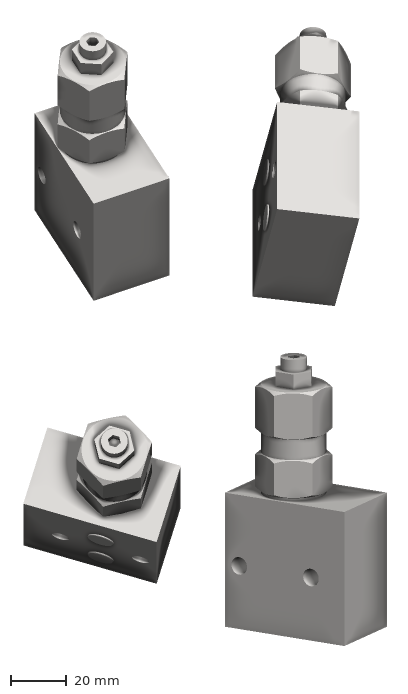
import cadquery as cq
import math

block_width = 50.0
block_depth = 30.0
block_height = 50.0

mount_hole_diameter = 6.5
mount_hole_xs = (6.0, 36.0)
mount_hole_z = 23.5

plug_diameter = 9.7
plug_height = 0.6
plug_chamfer = 0.2
plug_zs = (13.1, 34.1)

axis_x = 20.9
axis_y = 13.2

lower_nut_bottom = 51.0
lower_nut_top = 65.3
upper_nut_bottom = 72.8
upper_nut_top = 90.4
lock_nut_top = 96.0
screw_top = 100.6

nut_flats = 24.0
body_diameter = 23.5
nut_chamfer_angle = 30
lock_nut_flats = 13.0
screw_diameter = 9.6
socket_flats = 4.1
socket_depth = 4.0


def hexagon_corners(flats):
    """Distance across the corners of a hexagon, from its distance across flats."""
    return flats / math.cos(math.radians(30))


def at_level(z):
    """Horizontal workplane centred on the cartridge axis."""
    return cq.Workplane("XY", origin=(axis_x, axis_y, z))


def cylinder(diameter, bottom, top):
    return at_level(bottom).circle(diameter / 2).extrude(top - bottom)


def hexagon_prism(flats, bottom, top):
    """Hexagonal prism with two corners along X."""
    return at_level(bottom).polygon(6, hexagon_corners(flats)).extrude(top - bottom)


def chamfered_nut(bottom, top):
    """Hexagonal nut with corners along Y, turned conically at both ends."""
    height = top - bottom
    face_radius = body_diameter / 2
    corner_radius = hexagon_corners(nut_flats) / 2
    chamfer_height = (corner_radius - face_radius) * math.tan(math.radians(nut_chamfer_angle))
    prism = (
        at_level(bottom)
        .transformed(rotate=(0, 0, 30))
        .polygon(6, 2 * corner_radius)
        .extrude(height)
    )
    envelope = (
        cq.Workplane("XZ")
        .moveTo(0, 0)
        .lineTo(face_radius, 0)
        .lineTo(corner_radius, chamfer_height)
        .lineTo(corner_radius, height - chamfer_height)
        .lineTo(face_radius, height)
        .lineTo(0, height)
        .close()
        .revolve(360, (0, 0, 0), (0, 1, 0))
        .translate((axis_x, axis_y, bottom))
    )
    return prism.intersect(envelope)


def drilled_block():
    block = cq.Workplane("XY").box(block_width, block_depth, block_height, centered=False)
    holes = (
        cq.Workplane("XZ")
        .pushPoints([(x, mount_hole_z) for x in mount_hole_xs])
        .circle(mount_hole_diameter / 2)
        .extrude(-block_depth)
    )
    return block.cut(holes)


def plug(z):
    """Round plug on the back face, with a chamfered outer rim."""
    return (
        cq.Workplane("XZ", origin=(axis_x, block_depth, z))
        .circle(plug_diameter / 2)
        .extrude(-plug_height)
        .faces(">Y")
        .chamfer(plug_chamfer)
    )


def cartridge():
    body = cylinder(body_diameter, block_height, upper_nut_top)
    screw = cylinder(screw_diameter, upper_nut_top, screw_top)
    lock_nut = hexagon_prism(lock_nut_flats, upper_nut_top, lock_nut_top)
    socket = hexagon_prism(socket_flats, screw_top - socket_depth, screw_top)
    return (
        body
        .union(chamfered_nut(lower_nut_bottom, lower_nut_top))
        .union(chamfered_nut(upper_nut_bottom, upper_nut_top))
        .union(lock_nut)
        .union(screw)
        .cut(socket)
    )


result = drilled_block().union(cartridge())
for plug_z in plug_zs:
    result = result.union(plug(plug_z))